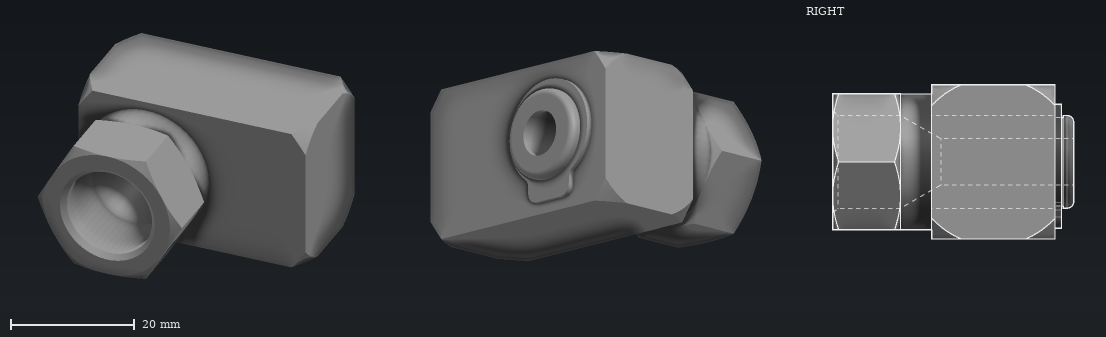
import cadquery as cq
import math


OVERALL_LENGTH = 40.7

HEX_FLATS = 22.0
HEX_CORNER_RADIUS = HEX_FLATS / 2 / math.cos(math.radians(30))
HEX_LENGTH = 11.0
HEX_CHAMFER_ANGLE = 30.0
NECK_DIAMETER = 21.98
NECK_LENGTH = 5.0

AXIS_TO_END = 12.0
BLOCK_LENGTH = OVERALL_LENGTH - HEX_CORNER_RADIUS + AXIS_TO_END
BLOCK_DEPTH = 20.0
BLOCK_HEIGHT = 25.0
END_FACE_RADIUS = 13.5

SHAFT_DIAMETER = 15.0
TAIL_LENGTH = 3.0
TAIL_FILLET = 1.1
GROOVE_DIAMETER = 14.3
GROOVE_WIDTH = 1.25

SOCKET_DIAMETER = SHAFT_DIAMETER
SOCKET_DEPTH = HEX_LENGTH
MOUTH_DIAMETER = 16.7
MOUTH_CHAMFER = (MOUTH_DIAMETER - SOCKET_DIAMETER) / 2
PASSAGE_DIAMETER = 7.5
SEAT_HALF_ANGLE = 30.0
SEAT_LENGTH = (SOCKET_DIAMETER - PASSAGE_DIAMETER) / 2 / math.tan(math.radians(SEAT_HALF_ANGLE))

RING_THICKNESS = 1.0
RING_OUTER_RADIUS = 8.85
RING_RISE = 0.53
LUG_WIDTH = 9.28
LUG_BOTTOM = -10.75
LUG_CORNER_RADIUS = 1.85
LUG_ROOT_RADIUS = 1.5

HEX_BACK = -NECK_LENGTH
HEX_FRONT = HEX_BACK - HEX_LENGTH
TAIL_END = BLOCK_DEPTH + TAIL_LENGTH


def along_y(start):
    """Workplane normal to +Y at the given station, with its local x pointing to +X and y to -Z."""
    return cq.Workplane(cq.Plane(origin=(0, start, 0), xDir=(1, 0, 0), normal=(0, 1, 0)))


def cylinder(diameter, start, end):
    return along_y(start).circle(diameter / 2).extrude(end - start)


def revolved(profile):
    """Solid of revolution about the Y axis from (radius, station) points."""
    return cq.Workplane("XY").polyline(profile).close().revolve(360, (0, 0, 0), (0, 1, 0))


def end_cone_envelope():
    """Cylinder along the block with 45 degree conical ends that trim the block corners."""
    corner_radius = math.hypot(BLOCK_DEPTH, BLOCK_HEIGHT) / 2
    cone_length = corner_radius - END_FACE_RADIUS
    profile = [
        (0, 0),
        (0, END_FACE_RADIUS),
        (cone_length, corner_radius),
        (BLOCK_LENGTH - cone_length, corner_radius),
        (BLOCK_LENGTH, END_FACE_RADIUS),
        (BLOCK_LENGTH, 0),
    ]
    envelope = cq.Workplane("XY").polyline(profile).close().revolve(360, (0, 0, 0), (1, 0, 0))
    return envelope.translate((-AXIS_TO_END, BLOCK_DEPTH / 2, 0))


def make_block():
    block = (
        cq.Workplane("XY")
        .box(BLOCK_LENGTH, BLOCK_DEPTH, BLOCK_HEIGHT, centered=(False, False, True))
        .translate((-AXIS_TO_END, 0, 0))
    )
    block = block.intersect(end_cone_envelope())
    return block.cut(cylinder(SHAFT_DIAMETER, 0, BLOCK_DEPTH))


def make_hex_head():
    """Hexagon with corners on +X and -X, both ends trimmed by a cone down to the flats."""
    flat_radius = HEX_FLATS / 2
    chamfer = (HEX_CORNER_RADIUS - flat_radius) * math.tan(math.radians(HEX_CHAMFER_ANGLE))
    prism = along_y(HEX_FRONT).polygon(6, 2 * HEX_CORNER_RADIUS).extrude(HEX_LENGTH)
    envelope = revolved([
        (0, HEX_FRONT),
        (flat_radius, HEX_FRONT),
        (HEX_CORNER_RADIUS, HEX_FRONT + chamfer),
        (HEX_CORNER_RADIUS, HEX_BACK - chamfer),
        (flat_radius, HEX_BACK),
        (0, HEX_BACK),
    ])
    return prism.intersect(envelope)


def make_passage():
    """Chamfered socket in the hex head, a conical seat and a bore right through the spindle."""
    seat_start = HEX_FRONT + SOCKET_DEPTH
    return revolved([
        (0, HEX_FRONT),
        (MOUTH_DIAMETER / 2, HEX_FRONT),
        (SOCKET_DIAMETER / 2, HEX_FRONT + MOUTH_CHAMFER),
        (SOCKET_DIAMETER / 2, seat_start),
        (PASSAGE_DIAMETER / 2, seat_start + SEAT_LENGTH),
        (PASSAGE_DIAMETER / 2, TAIL_END),
        (0, TAIL_END),
    ])


def make_spindle():
    groove_end = BLOCK_DEPTH + GROOVE_WIDTH
    tail = cylinder(SHAFT_DIAMETER, groove_end, TAIL_END).faces(">Y").edges().fillet(TAIL_FILLET)
    spindle = make_hex_head()
    spindle = spindle.union(cylinder(NECK_DIAMETER, HEX_BACK, 0))
    spindle = spindle.union(cylinder(SHAFT_DIAMETER, 0, BLOCK_DEPTH))
    spindle = spindle.union(cylinder(GROOVE_DIAMETER, BLOCK_DEPTH, groove_end))
    spindle = spindle.union(tail)
    return spindle.cut(make_passage())


def make_retaining_ring():
    """Ring with an eccentric outline, thickest at the top, with a rounded lug at the bottom."""
    ring = (
        along_y(BLOCK_DEPTH)
        .center(0, -RING_RISE)
        .circle(RING_OUTER_RADIUS)
        .extrude(RING_THICKNESS)
    )
    lug = (
        cq.Workplane("XY")
        .box(LUG_WIDTH, RING_THICKNESS, -LUG_BOTTOM, centered=(True, False, False))
        .translate((0, BLOCK_DEPTH, LUG_BOTTOM))
        .edges("|Y and <Z")
        .fillet(LUG_CORNER_RADIUS)
    )
    lug_root_edges = cq.selectors.BoxSelector(
        (-LUG_WIDTH, BLOCK_DEPTH, LUG_BOTTOM + LUG_CORNER_RADIUS),
        (LUG_WIDTH, BLOCK_DEPTH + RING_THICKNESS, 0),
    )
    ring = ring.union(lug)
    ring = ring.edges("|Y").edges(lug_root_edges).fillet(LUG_ROOT_RADIUS)
    return ring.cut(cylinder(GROOVE_DIAMETER, BLOCK_DEPTH, BLOCK_DEPTH + RING_THICKNESS))


block = make_block()
spindle = make_spindle()
retaining_ring = make_retaining_ring()

result = cq.Compound.makeCompound([block.val(), spindle.val(), retaining_ring.val()])